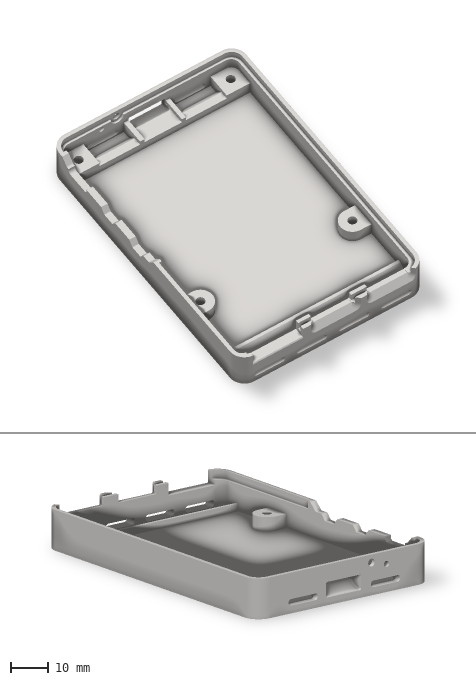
import cadquery as cq
import math


LENGTH = 90.5
WIDTH = 60.12
HEIGHT = 11.34
CORNER_RADIUS = 4.7
FLOOR = 1.6

BOARD_LENGTH = 85.0
BOARD_WIDTH = 56.0
WALL = (WIDTH - BOARD_WIDTH) / 2
START_WALL = 1.85
INNER_END_X = WALL + BOARD_LENGTH
INNER_RADIUS = CORNER_RADIUS - WALL
OVERCUT = 1.0

LIP = 1.2
LEDGE_Z = 9.1
LIP_RADIUS = CORNER_RADIUS - LIP
FULL_WALL_START_X = 4.8
FULL_WALL_END_X = 50.3

HOLE_INSET = 3.5
HOLE_SPACING_X = 58.0
HOLE_SPACING_Y = 49.0
HOLE_DIAMETER = 2.7
HOLE_START_X = WALL + HOLE_INSET
HOLE_END_X = HOLE_START_X + HOLE_SPACING_X
HOLE_LOW_Y = WALL + HOLE_INSET
HOLE_HIGH_Y = HOLE_LOW_Y + HOLE_SPACING_Y
POST_RADIUS = 3.9
POST_TOP = 5.6

SHELF_END_X = 9.6
SHELF_TOP = 4.3
SHELF_RAMP_FOOT_X = 4.3
CORNER_BLOCK_LENGTH = 9.56
SHELF_RIB_LOW_Y = (22.6, 24.1)
SHELF_RIB_HIGH_Y = (36.1, 37.4)

CROSS_RIB_START_X = 80.33
CROSS_RIB_WIDTH = 0.95
CROSS_RIB_HEIGHT = 2.14

VENT_BOTTOM = 2.16
VENT_HEIGHT = 1.85
VENT_LENGTH = 10.0
VENT_LOW_Y = 15.8
VENT_HIGH_Y = 43.9
WINDOW_HEIGHT = 4.34
WINDOW_LOW_Y = 24.1
WINDOW_HIGH_Y = 36.05
WINDOW_RADIUS = 0.4
TROUGH_END_X = SHELF_RAMP_FOOT_X
TROUGH_EDGE_RADIUS = 0.5
LARGE_HOLE_DIAMETER = 2.2
LARGE_HOLE_Y = 20.6
LARGE_HOLE_Z = 9.1
COUNTERBORE_DIAMETER = 4.0
SMALL_HOLE_DIAMETER = 1.7
SMALL_HOLE_Y = 15.45
SMALL_HOLE_Z = 7.8

NOTCH_Z = LEDGE_Z
NOTCH_FOOT_START_X = 8.18
NOTCH_FOOT_END_X = 47.2
NOTCH_FOOT_RADIUS = 1.0
POWER_NOTCH_START_X = 8.95
POWER_NOTCH_END_X = 17.5
POWER_NOTCH_Z = 7.6
POWER_NOTCH_RADIUS = 1.0
VIDEO_NOTCH_X = 27.85
VIDEO_NOTCH_PITCH = 13.4
VIDEO_NOTCH_Z = 7.36
VIDEO_NOTCH_TOP_HALF = 3.35
VIDEO_NOTCH_BOTTOM_HALF = 1.9

USB_FIRST_Y = 31.06
USB_PITCH = 18.0
USB_WIDTH = 12.4
USB_SILL_Z = 8.98
USB_FLARE = 1.9
NETWORK_Y = 12.35
NETWORK_WIDTH = 16.2
NETWORK_Z = 7.8
NETWORK_CHAMFER = 0.3
TONGUE_END_X = 88.1
TONGUE_CLEARANCE = 0.3
END_VENT_COUNT = 4
END_VENT_BOTTOM = 1.9
END_VENT_FIRST_Y = 9.7
END_VENT_PITCH = 13.6
END_VENT_LENGTH = 9.9


def box(x_range, y_range, z_range):
    """Axis-aligned block between the given limits."""
    size = [end - start for start, end in (x_range, y_range, z_range)]
    corner = (x_range[0], y_range[0], z_range[0])
    return cq.Workplane("XY").box(*size, centered=False).translate(corner)


def rounded_block(x_range, y_range, z_range, radius):
    """Block with rounded vertical edges."""
    return box(x_range, y_range, z_range).edges("|Z").fillet(radius)


def along_x(diameter, y, z, x_range):
    """Round bar parallel to X."""
    bar = cq.Workplane("YZ").circle(diameter / 2).extrude(x_range[1] - x_range[0])
    return bar.translate((x_range[0], y, z))


def along_y(points, y_range):
    """Closed XZ outline swept from the first Y to the second."""
    prism = cq.Workplane("XZ").polyline(points).close().extrude(y_range[0] - y_range[1])
    return prism.translate((0, y_range[0], 0))


def tray():
    """Floor and walls, with a lip that is left thick beside the -Y wall notches."""
    outer = rounded_block((0, LENGTH), (0, WIDTH), (0, HEIGHT), CORNER_RADIUS)
    cavity = rounded_block(
        (START_WALL, INNER_END_X), (WALL, WIDTH - WALL), (FLOOR, HEIGHT + OVERCUT), INNER_RADIUS
    )
    recess = rounded_block(
        (LIP, LENGTH - LIP), (LIP, WIDTH - LIP), (LEDGE_Z, HEIGHT + OVERCUT), LIP_RADIUS
    )
    full_wall = box((FULL_WALL_START_X, FULL_WALL_END_X), (LIP, WALL), (LEDGE_Z, HEIGHT))
    return outer.cut(cavity).cut(recess).union(full_wall)


def posts():
    """Two half-round screw posts, each joined to its long wall."""
    body = None
    for y, wall_y in ((HOLE_LOW_Y, WALL), (HOLE_HIGH_Y, WIDTH - WALL)):
        web = box(
            (HOLE_END_X - POST_RADIUS, HOLE_END_X + POST_RADIUS),
            (min(y, wall_y), max(y, wall_y)),
            (FLOOR, POST_TOP),
        )
        post = cq.Workplane("XY").circle(POST_RADIUS).extrude(POST_TOP - FLOOR)
        post = post.translate((HOLE_END_X, y, FLOOR)).union(web)
        body = post if body is None else body.union(post)
    return body


def shelf():
    """Shelf on the -X wall: ramps behind the vents, corner blocks and two ribs."""
    high_block_y = WIDTH - CORNER_BLOCK_LENGTH
    ramp_height = SHELF_TOP - FLOOR
    ramp = [
        (SHELF_RAMP_FOOT_X, FLOOR),
        (SHELF_END_X, FLOOR),
        (SHELF_END_X, SHELF_TOP),
        (SHELF_RAMP_FOOT_X + ramp_height, SHELF_TOP),
    ]
    x_range = (LIP, SHELF_END_X)
    tall = (FLOOR, POST_TOP)
    middle = (SHELF_RIB_LOW_Y[1], SHELF_RIB_HIGH_Y[0])
    body = along_y(ramp, (CORNER_BLOCK_LENGTH, high_block_y))
    body = body.union(box(x_range, middle, (FLOOR, SHELF_TOP)))
    for y_range in (
        (LIP, CORNER_BLOCK_LENGTH),
        SHELF_RIB_LOW_Y,
        SHELF_RIB_HIGH_Y,
        (high_block_y, WIDTH - LIP),
    ):
        body = body.union(box(x_range, y_range, tall))
    shell = rounded_block((LIP, LENGTH - LIP), (LIP, WIDTH - LIP), (0, HEIGHT), LIP_RADIUS)
    return body.intersect(shell)


def cross_rib():
    """Rib across the floor with a 45 degree back facing the +X vents."""
    crest_x = CROSS_RIB_START_X + CROSS_RIB_WIDTH
    top = FLOOR + CROSS_RIB_HEIGHT
    outline = [
        (CROSS_RIB_START_X, FLOOR),
        (crest_x + CROSS_RIB_HEIGHT, FLOOR),
        (crest_x, top),
        (CROSS_RIB_START_X, top),
    ]
    return along_y(outline, (WALL, WIDTH - WALL))


def tongues():
    """Two upstands on the +X wall, set back from the port openings on either side."""
    setback = USB_WIDTH / 2 + TONGUE_CLEARANCE
    second_usb_y = USB_FIRST_Y + USB_PITCH
    x_range = (INNER_END_X, TONGUE_END_X)
    z_range = (LEDGE_Z, HEIGHT)
    end_tongue = box(x_range, (NETWORK_Y, USB_FIRST_Y - setback), z_range)
    middle_tongue = box(x_range, (USB_FIRST_Y + setback, second_usb_y - setback), z_range)
    return end_tongue.union(middle_tongue)


def vent(x_range, y, bottom, length):
    """Cutter for a round-ended slot through an end wall."""
    slot = cq.Workplane("YZ").slot2D(length, VENT_HEIGHT).extrude(x_range[1] - x_range[0])
    return slot.translate((x_range[0], y, bottom + VENT_HEIGHT / 2))


def window():
    """Cutter for the -X window and the curved trough that leads in through it."""
    y_range = (WINDOW_LOW_Y, WINDOW_HIGH_Y)
    opening = box((-OVERCUT, START_WALL), y_range, (VENT_BOTTOM, VENT_BOTTOM + WINDOW_HEIGHT))
    opening = opening.edges("|X and >Z").fillet(WINDOW_RADIUS)

    rise = SHELF_TOP - VENT_BOTTOM
    radius = (TROUGH_END_X ** 2 + rise ** 2) / (2 * rise)
    half_angle = math.atan2(rise, TROUGH_END_X)
    arc_middle = (radius * math.sin(half_angle), VENT_BOTTOM + radius * (1 - math.cos(half_angle)))
    trough = (
        cq.Workplane("XZ")
        .moveTo(0, VENT_BOTTOM)
        .threePointArc(arc_middle, (TROUGH_END_X, SHELF_TOP))
        .lineTo(0, SHELF_TOP)
        .close()
        .extrude(WINDOW_LOW_Y - WINDOW_HIGH_Y)
        .translate((0, WINDOW_LOW_Y, 0))
    )
    trough = trough.faces("%CYLINDER").edges("%CIRCLE").fillet(TROUGH_EDGE_RADIUS)
    return opening.cut(box((0, START_WALL), y_range, (VENT_BOTTOM, SHELF_TOP))).union(trough)


def indicator_holes():
    """Cutter for the two round holes in the -X wall, the larger one counterbored from inside."""
    through = (-OVERCUT, START_WALL + OVERCUT)
    large = along_x(LARGE_HOLE_DIAMETER, LARGE_HOLE_Y, LARGE_HOLE_Z, through)
    counterbore = along_x(COUNTERBORE_DIAMETER, LARGE_HOLE_Y, LARGE_HOLE_Z, (LIP, through[1]))
    small = along_x(SMALL_HOLE_DIAMETER, SMALL_HOLE_Y, SMALL_HOLE_Z, through)
    return large.union(counterbore).union(small)


def side_notches():
    """Cutter for the wide -Y notch with 45 degree ends, and the three plug notches below it."""
    y_range = (-OVERCUT, WALL)
    top = HEIGHT + OVERCUT
    run = top - NOTCH_Z
    wide = [
        (NOTCH_FOOT_START_X - run, top),
        (NOTCH_FOOT_START_X, NOTCH_Z),
        (NOTCH_FOOT_END_X, NOTCH_Z),
        (NOTCH_FOOT_END_X + run, top),
    ]
    body = along_y(wide, y_range).edges("|Y and <Z").fillet(NOTCH_FOOT_RADIUS)
    power = box((POWER_NOTCH_START_X, POWER_NOTCH_END_X), y_range, (POWER_NOTCH_Z, HEIGHT))
    body = body.union(power.edges("|Y and <Z").fillet(POWER_NOTCH_RADIUS))
    for x in (VIDEO_NOTCH_X, VIDEO_NOTCH_X + VIDEO_NOTCH_PITCH):
        video = [
            (x - VIDEO_NOTCH_TOP_HALF, NOTCH_Z),
            (x - VIDEO_NOTCH_BOTTOM_HALF, VIDEO_NOTCH_Z),
            (x + VIDEO_NOTCH_BOTTOM_HALF, VIDEO_NOTCH_Z),
            (x + VIDEO_NOTCH_TOP_HALF, NOTCH_Z),
        ]
        body = body.union(along_y(video, y_range))
    return body


def usb_opening(center_y):
    """Cutter for a port open at the top, flared at 45 degrees towards the outside."""
    low = center_y - USB_WIDTH / 2
    high = center_y + USB_WIDTH / 2
    throat_x = LENGTH - USB_FLARE
    top = HEIGHT + OVERCUT
    body = box((INNER_END_X, LENGTH), (low, high), (USB_SILL_Z, top))
    sill = [(throat_x, USB_SILL_Z), (LENGTH, USB_SILL_Z), (LENGTH, USB_SILL_Z - USB_FLARE)]
    body = body.union(along_y(sill, (low, high)))
    for y, outward in ((low, -1), (high, 1)):
        jamb = [(throat_x, y), (LENGTH, y), (LENGTH, y + outward * USB_FLARE)]
        body = body.union(
            cq.Workplane("XY").workplane(offset=USB_SILL_Z).polyline(jamb).close().extrude(top - USB_SILL_Z)
        )
        cone = cq.Solid.makeCone(
            0, USB_FLARE, USB_FLARE, cq.Vector(throat_x, y, USB_SILL_Z), cq.Vector(1, 0, 0)
        )
        body = body.union(cq.Workplane(cone))
    return body


def network_opening():
    """Cutter for the lower port beside the USB ports, with a small outer sill chamfer."""
    y_range = (NETWORK_Y - NETWORK_WIDTH / 2, NETWORK_Y + NETWORK_WIDTH / 2)
    body = box((INNER_END_X, LENGTH + OVERCUT), y_range, (NETWORK_Z, HEIGHT + OVERCUT))
    chamfer = [
        (LENGTH - NETWORK_CHAMFER, NETWORK_Z),
        (LENGTH, NETWORK_Z),
        (LENGTH, NETWORK_Z - NETWORK_CHAMFER),
    ]
    return body.union(along_y(chamfer, y_range))


def screw_holes():
    """Cutter for the four mounting holes through the floor."""
    points = [(x, y) for x in (HOLE_START_X, HOLE_END_X) for y in (HOLE_LOW_Y, HOLE_HIGH_Y)]
    return cq.Workplane("XY").pushPoints(points).circle(HOLE_DIAMETER / 2).extrude(HEIGHT)


result = tray().union(shelf()).union(posts()).union(cross_rib()).union(tongues())
result = result.cut(screw_holes()).cut(window()).cut(indicator_holes()).cut(side_notches())
for vent_y in (VENT_LOW_Y, VENT_HIGH_Y):
    result = result.cut(vent((-OVERCUT, START_WALL), vent_y, VENT_BOTTOM, VENT_LENGTH))
for index in range(END_VENT_COUNT):
    vent_y = END_VENT_FIRST_Y + index * END_VENT_PITCH
    result = result.cut(vent((INNER_END_X, LENGTH + OVERCUT), vent_y, END_VENT_BOTTOM, END_VENT_LENGTH))
for port_y in (USB_FIRST_Y, USB_FIRST_Y + USB_PITCH):
    result = result.cut(usb_opening(port_y))
result = result.cut(network_opening())